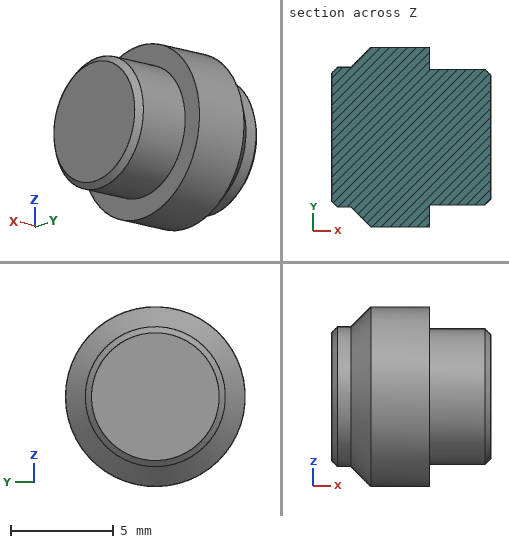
import cadquery as cq

body_diameter = 8.8
nose_diameter = 6.85
shank_diameter = 6.65
total_length = 7.8
shank_length = 3.0
nose_length = 0.95
edge_chamfer = 0.3

body_radius = body_diameter / 2
nose_radius = nose_diameter / 2
shank_radius = shank_diameter / 2
cone_length = body_radius - nose_radius
cone_end = nose_length + cone_length
shoulder = total_length - shank_length


def turned_body():
    """Revolve the half profile (x, radius) about the X axis."""
    profile = (
        cq.Workplane("XY")
        .moveTo(0, 0)
        .lineTo(0, nose_radius - edge_chamfer)
        .lineTo(edge_chamfer, nose_radius)
        .lineTo(nose_length, nose_radius)
        .lineTo(cone_end, body_radius)
        .lineTo(shoulder, body_radius)
        .lineTo(shoulder, shank_radius)
        .lineTo(total_length - edge_chamfer, shank_radius)
        .lineTo(total_length, shank_radius - edge_chamfer)
        .lineTo(total_length, 0)
        .close()
    )
    return profile.revolve(360, (0, 0, 0), (1, 0, 0))


result = turned_body()